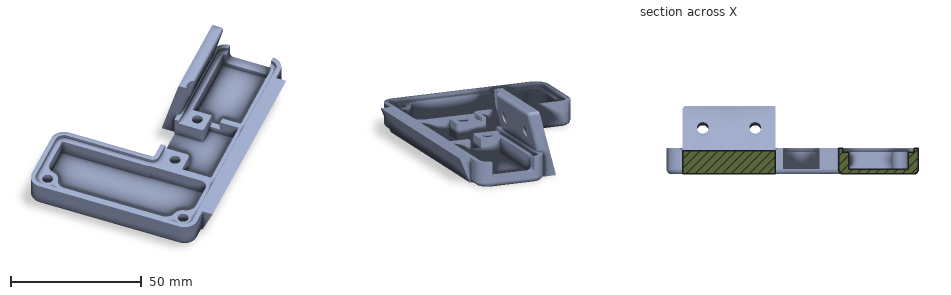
import math

import cadquery as cq

tray_width = 68.0
tray_length = 96.3
tray_height = 10.0
foot_depth = 30.6
arm_left = 40.1
corner_radius = 5.2
inner_corner_radius = 0.8
bottom_fillet = 2.0
floor = 2.0

rim_width = 1.8
rebate_depth = 1.5
ledge = tray_height - rebate_depth

wall = 4.0
pocket_right = tray_width - wall
foot_pocket_corner = 3.0
small_radius = 0.6
step_run = 0.9
boss_right = 52.0
boss_corner = 1.3
mid_pocket_bottom = 29.8
foot_pocket_top = 26.9
opening_bottom = 37.9
opening_top = 51.85
rib_bottom = 58.2
rib_top = 60.5
rib_left = 56.4
rib_gap_floor = 4.6

notch_left = 45.3
notch_right = 62.9
notch_floor = 4.0
notch_radius = 1.6

screw_diameter = 4.2
screw_inset = 6.15
boss_screw_x = 47.65
lower_boss_screw_y = 33.5
upper_boss_screw_y = 56.5
screw_points = [
    (screw_inset, screw_inset),
    (tray_width - screw_inset, screw_inset),
    (boss_screw_x, lower_boss_screw_y),
    (boss_screw_x, upper_boss_screw_y),
]
corner_boss_radius = 4.0
corner_boss_blend = 4.0
screw_head_clearance = 4.2

strip_overhang = 4.21
strip_start = 10.65
strip_length = 76.0

plate_height = 26.0
plate_lean = math.radians(15)
plate_thickness = 4.8
thickness_along_x = plate_thickness / math.cos(plate_lean)
plate_foot_x = 33.7
plate_start = 54.7
plate_length = 35.5
plate_fillet = 1.3
plate_hole_diameter = 4.5
plate_hole_height = 17.7
plate_hole_count = 2
plate_hole_spacing = 20.0
plate_hole_first = 62.4


def box(x0, x1, y0, y1, z0, z1):
    return cq.Workplane("XY").box(x1 - x0, y1 - y0, z1 - z0, centered=False).translate((x0, y0, z0))


def tray_blank():
    outline = [
        (0, 0),
        (tray_width, 0),
        (tray_width, tray_length),
        (arm_left, tray_length),
        (arm_left, foot_depth),
        (0, foot_depth),
    ]
    inner_corner = (arm_left, foot_depth)
    blank = cq.Workplane("XY").polyline(outline).close().extrude(tray_height)
    for x, y in outline:
        radius = inner_corner_radius if (x, y) == inner_corner else corner_radius
        corner = cq.selectors.NearestToPointSelector((x, y, tray_height / 2))
        blank = blank.edges("|Z").edges(corner).fillet(radius)
    return blank


def lid_rebate(blank):
    rim = blank.faces("<Z").wires().val().translate(cq.Vector(0, 0, ledge))
    return (
        cq.Workplane("XY", origin=(0, 0, ledge))
        .add(rim)
        .toPending()
        .offset2D(-rim_width)
        .extrude(rebate_depth)
    )


def extrude_along_y(profile, start, length):
    return cq.Workplane("XZ", origin=(0, start, 0)).polyline(profile).close().extrude(-length)


def side_strip():
    profile = [
        (tray_width - rim_width, 0),
        (tray_width, 0),
        (tray_width + strip_overhang, tray_height),
        (tray_width - rim_width, tray_height),
    ]
    return extrude_along_y(profile, strip_start, strip_length)


def foot_pocket():
    outline = [
        (wall, wall),
        (pocket_right, wall),
        (pocket_right, foot_pocket_top),
        (arm_left, foot_pocket_top),
        (arm_left - step_run, foot_depth - wall),
        (wall, foot_depth - wall),
    ]
    pocket = (
        cq.Workplane("XY", origin=(0, 0, floor))
        .polyline(outline)
        .close()
        .extrude(tray_height - floor)
    )
    pocket = pocket.edges("|Z and >X and >Y").fillet(foot_pocket_corner)
    pocket = pocket.edges("|Z and <X").edges(">Y").fillet(small_radius)
    corner_bosses = (
        cq.Workplane("XY", origin=(0, 0, floor))
        .pushPoints(screw_points[:2])
        .circle(corner_boss_radius)
        .extrude(tray_height)
    )
    pocket = pocket.cut(corner_bosses)
    blend_zone = cq.selectors.BoxSelector(
        (0, 0, 0), (tray_width, screw_inset + 2 * corner_boss_radius, tray_height)
    )
    return pocket.edges("|Z").edges(blend_zone).fillet(corner_boss_blend)


def arm_pockets():
    end = box(arm_left + wall, pocket_right, rib_top, tray_length - wall, floor, tray_height)
    end = end.edges("|Z and >Y").fillet(small_radius)
    middle = box(boss_right, pocket_right, mid_pocket_bottom, rib_bottom, floor, tray_height)
    opening = box(arm_left - wall, boss_right, opening_bottom, opening_top, floor, tray_height)
    middle = middle.union(opening)
    boss_edges = cq.selectors.BoxSelector(
        (boss_right - boss_corner, opening_bottom - boss_corner, 0),
        (boss_right + boss_corner, opening_top + boss_corner, tray_height),
    )
    middle = middle.edges("|Z").edges(boss_edges).fillet(boss_corner)
    rib_gap = box(boss_right, rib_left, rib_bottom, rib_top, rib_gap_floor, tray_height)
    return end.union(middle).union(rib_gap)


def end_notch():
    notch = box(notch_left, notch_right, tray_length - wall, tray_length, notch_floor, tray_height)
    return notch.edges("|Y and <Z").fillet(notch_radius)


def screw_holes():
    return (
        cq.Workplane("XY", origin=(0, 0, floor))
        .pushPoints(screw_points)
        .circle(screw_diameter / 2)
        .extrude(tray_height - floor)
    )


def tray():
    blank = tray_blank()
    body = blank.faces("<Z").edges().fillet(bottom_fillet).union(side_strip())
    for void in (lid_rebate(blank), foot_pocket(), arm_pockets(), end_notch(), screw_holes()):
        body = body.cut(void)
    return body


def plate_left_x(z):
    return plate_foot_x + z * math.tan(plate_lean)


def leaning_plate():
    top_left = plate_left_x(plate_height)
    profile = [
        (plate_foot_x, 0),
        (plate_foot_x + thickness_along_x, 0),
        (top_left + thickness_along_x, plate_height),
        (top_left, plate_height),
    ]
    plate = extrude_along_y(profile, plate_start, plate_length)

    plate_end = plate_start + plate_length
    middle_y = plate_start + plate_length / 2
    right_middle_x = plate_left_x(plate_height / 2) + thickness_along_x
    rounded_edges = [
        (top_left + thickness_along_x, middle_y, plate_height),
        (right_middle_x, plate_start, plate_height / 2),
        (right_middle_x, plate_end, plate_height / 2),
        (top_left + thickness_along_x / 2, plate_end, plate_height),
    ]
    edges = [plate.edges(cq.selectors.NearestToPointSelector(point)).val() for point in rounded_edges]
    return plate.newObject([plate.val().fillet(plate_fillet, edges)])


def plate_filler():
    """Fills the gap and the rounded plate edges beside the arm, so the plate's foot meets it flush."""
    profile = [
        (plate_foot_x, 0),
        (arm_left + bottom_fillet, 0),
        (arm_left + bottom_fillet, floor),
        (arm_left, tray_height),
        (plate_left_x(tray_height), tray_height),
    ]
    return extrude_along_y(profile, plate_start, plate_length)


def screw_head_space():
    """Room above the upper boss for a screw head, taken out of the plate."""
    return (
        cq.Workplane("XY", origin=(boss_screw_x, upper_boss_screw_y, ledge))
        .circle(screw_head_clearance)
        .extrude(plate_height)
    )


def plate_holes():
    """Through holes square to the leaning faces, running past the plate on both sides."""
    axis = cq.Vector(math.cos(plate_lean), 0, -math.sin(plate_lean))
    hole_x = plate_left_x(plate_hole_height)
    cutter_length = 3 * plate_thickness
    holes = []
    for index in range(plate_hole_count):
        hole_y = plate_hole_first + index * plate_hole_spacing
        start = cq.Vector(hole_x, hole_y, plate_hole_height) - axis * plate_thickness
        holes.append(cq.Solid.makeCylinder(plate_hole_diameter / 2, cutter_length, start, axis))
    return cq.Workplane("XY").newObject(holes).combine()


plate = leaning_plate().union(plate_filler()).cut(screw_head_space()).cut(plate_holes())
result = tray().union(plate)